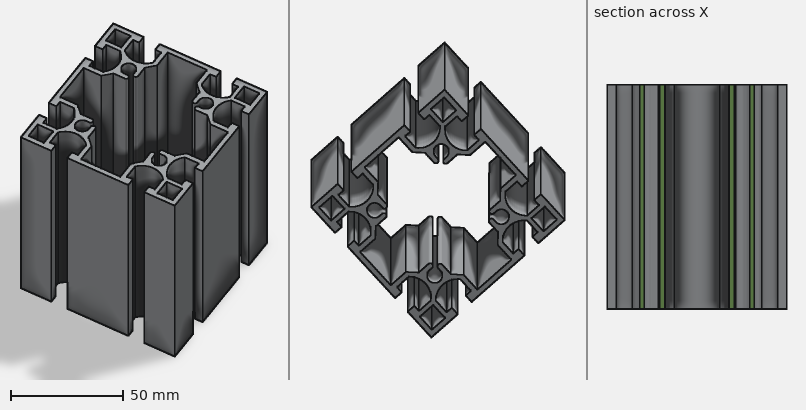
import cadquery as cq

size = 80.0
length = 100.0
half = size / 2

skin = 2.5
tube_bore = 8.0
web = 2.5

slot_offset = 20.0
slot_mouth = 8.3
lip_depth = 4.0
cavity_width = 14.6
straight_depth = 11.1
slot_depth = 14.5

bore_radius = 3.4
claw_thickness = 2.4
claw_reach = 2.7
claw_face = slot_offset - bore_radius - claw_thickness

shoulder_depth = 11.6

turns = (0, 90, 180, 270)


def prism(sketch):
    """Extrude a closed outline over the full length of the profile."""
    return sketch.extrude(length)


def turned(solid, angle):
    """Turn a solid about the profile axis."""
    return solid.rotate((0, 0, 0), (0, 0, 1), angle)


def block(x_low, x_high, y_low, y_high):
    """Full-length bar with a rectangular section."""
    outline = cq.Workplane("XY").center((x_low + x_high) / 2, (y_low + y_high) / 2)
    return prism(outline.rect(x_high - x_low, y_high - y_low))


def slot(x_axis):
    """T-slot in the +Y side, with a curved floor."""
    mouth = slot_mouth / 2
    cavity = cavity_width / 2
    lip_y = half - lip_depth
    straight_y = half - straight_depth
    outline = (
        cq.Workplane("XY")
        .moveTo(x_axis - mouth, half)
        .lineTo(x_axis - mouth, lip_y)
        .lineTo(x_axis - cavity, lip_y)
        .lineTo(x_axis - cavity, straight_y)
        .threePointArc((x_axis, half - slot_depth), (x_axis + cavity, straight_y))
        .lineTo(x_axis + cavity, lip_y)
        .lineTo(x_axis + mouth, lip_y)
        .lineTo(x_axis + mouth, half)
        .close()
    )
    return prism(outline)


def centre_hollow():
    """Cross-shaped centre hollow, with slanted walls that run into the claws."""
    arm = slot_offset - cavity_width / 2 - web
    slant_start = half - shoulder_depth
    slant_end = slant_start - (claw_face - arm)
    arm_outline = (
        cq.Workplane("XY")
        .moveTo(-arm, 0)
        .lineTo(-claw_face, 0)
        .lineTo(-claw_face, slant_end)
        .lineTo(-arm, slant_start)
        .lineTo(-arm, half - skin)
        .lineTo(arm, half - skin)
        .lineTo(arm, slant_start)
        .lineTo(claw_face, slant_end)
        .lineTo(claw_face, 0)
        .close()
    )
    arm_solid = prism(arm_outline)
    hollow = arm_solid
    for angle in turns[1:]:
        hollow = hollow.union(turned(arm_solid, angle))
    return hollow


def claw():
    """Claw with a round tip, pointing in -Y along the +X +Y screw bore."""
    tip_radius = claw_thickness / 2
    tip_x = claw_face + tip_radius
    tip_y = slot_offset - claw_reach + tip_radius
    shank = block(claw_face, claw_face + claw_thickness, tip_y, slot_offset)
    return shank.union(prism(cq.Workplane("XY").center(tip_x, tip_y).circle(tip_radius)))


def screw_bore():
    """Screw bore in the +X +Y quadrant and the opening around its two claws."""
    bore = prism(cq.Workplane("XY").center(slot_offset, slot_offset).circle(bore_radius))
    opening = block(claw_face, slot_offset, claw_face, slot_offset)
    second_claw = turned(claw().mirror("XZ"), 90)
    return bore.union(opening.cut(claw()).cut(second_claw))


def tube_hole():
    """Square hole in the +X +Y corner."""
    outer = half - skin
    return block(outer - tube_bore, outer, outer - tube_bore, outer)


result = block(-half, half, -half, half).cut(centre_hollow())
for angle in turns:
    for cutter in (slot(-slot_offset), slot(slot_offset), screw_bore(), tube_hole()):
        result = result.cut(turned(cutter, angle))